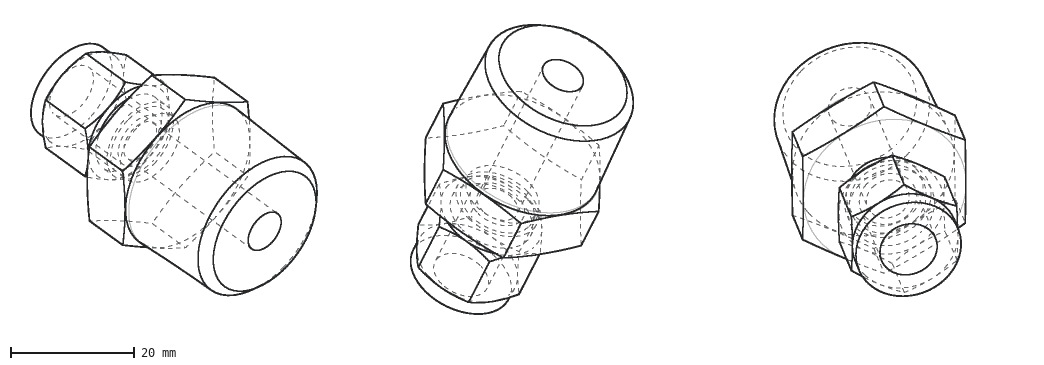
import cadquery as cq
import math

LENGTH = 47.75

COLLAR_END = 2.85
NUT_END = 14.2
RING_END = 16.95
BODY_HEX_START = 19.35
BODY_HEX_END = 28.7
SHANK_END = 29.4

NUT_FLATS = 17.5
NUT_CHAMFER_ANGLE = 30.0
BODY_FLATS = 27.0
BODY_CHAMFER_ANGLE = 15.0

RING_DIAMETER = 14.32
NECK_DIAMETER = 12.75
THREAD_DIAMETER = 26.8
THREAD_TAPER = 1 / 16
THREAD_CHAMFER = 1.75

TUBE_DIAMETER = 9.5
TUBE_DEPTH = RING_END
BORE_DIAMETER = 7.1


def cylinder(start, end, diameter):
    """Round bar along X between two stations."""
    return cq.Workplane("YZ", origin=(start, 0, 0)).circle(diameter / 2).extrude(end - start)


def revolve_about_x(profile):
    """Solid of revolution from a closed outline of (x, radius) points."""
    return cq.Workplane("XY").polyline(profile).close().revolve(360, (0, 0, 0), (1, 0, 0))


def chamfered_hexagon(start, end, flats, chamfer_angle):
    """Hexagonal bar with corners up and down, its end faces turned down to the width across flats."""
    flat_radius = flats / 2
    corner_radius = flat_radius / math.cos(math.radians(30))
    chamfer = (corner_radius - flat_radius) * math.tan(math.radians(chamfer_angle))
    hexagon = (
        cq.Workplane("YZ", origin=(start, 0, 0))
        .transformed(rotate=(0, 0, 90))
        .polygon(6, 2 * corner_radius)
        .extrude(end - start)
    )
    envelope = revolve_about_x([
        (start, 0),
        (start, flat_radius),
        (start + chamfer, corner_radius),
        (end - chamfer, corner_radius),
        (end, flat_radius),
        (end, 0),
    ])
    return hexagon.intersect(envelope)


def tapered_thread():
    """Plain shank, taper and end chamfer of the male thread."""
    taper_end = LENGTH - THREAD_CHAMFER
    large_radius = THREAD_DIAMETER / 2
    small_radius = large_radius - THREAD_TAPER * (taper_end - SHANK_END) / 2
    return revolve_about_x([
        (BODY_HEX_END, 0),
        (BODY_HEX_END, large_radius),
        (SHANK_END, large_radius),
        (taper_end, small_radius),
        (LENGTH, small_radius - THREAD_CHAMFER),
        (LENGTH, 0),
    ])


collar = cylinder(0, COLLAR_END, NUT_FLATS)
nut = chamfered_hexagon(COLLAR_END, NUT_END, NUT_FLATS, NUT_CHAMFER_ANGLE)

ring = cylinder(NUT_END, RING_END, RING_DIAMETER)
neck = cylinder(RING_END, BODY_HEX_START, NECK_DIAMETER)
body_hex = chamfered_hexagon(BODY_HEX_START, BODY_HEX_END, BODY_FLATS, BODY_CHAMFER_ANGLE)

fitting = collar.union(nut).union(ring).union(neck).union(body_hex).union(tapered_thread())

tube_socket = cylinder(0, TUBE_DEPTH, TUBE_DIAMETER)
through_bore = cylinder(0, LENGTH, BORE_DIAMETER)

result = fitting.cut(tube_socket).cut(through_bore)